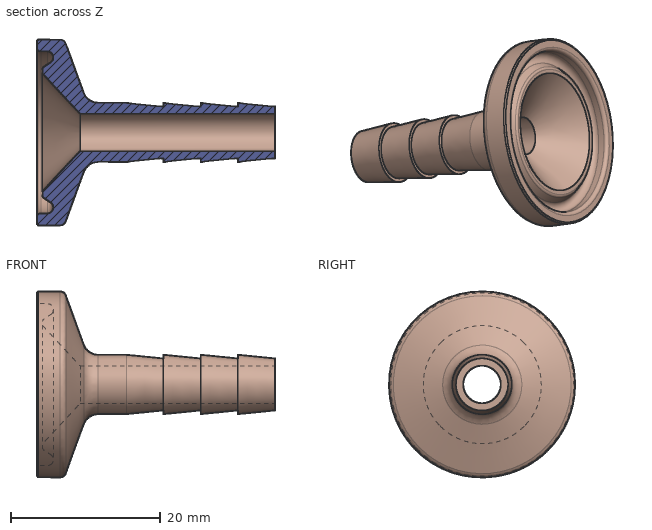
import cadquery as cq
import math

flange_radius = 12.5
rim_thickness = 3.7
back_cone_angle = 20.0
rim_round = 0.85
face_chamfer = 0.2

total_length = 32.0
shank_radius = 4.0
shank_fillet = 2.0
barb_count = 4
barb_pitch = 5.0
barb_small_radius = 3.5

bore_radius = 2.5
funnel_radius = 7.93
funnel_end = 5.8

land_setback = 0.75
land_radius = 8.46
land_round = 0.45
rim_lip_round = 0.5
groove_outer_radius = 10.87
groove_wall_end = 1.4
groove_wall_angle = 34.0
groove_floor_round = 0.79

barbs_start = total_length - barb_count * barb_pitch
cone_slope = math.tan(math.radians(back_cone_angle))
cone_end = rim_thickness + (flange_radius - shank_radius) * cone_slope


def revolve_about_x(profile):
    """Close a profile drawn as (X, radius) and spin it a full turn about the part axis."""
    return profile.close().revolve(360, (0, 0, 0), (1, 0, 0))


def circle_at(x, radius):
    """Selector for the circular edge of the given radius lying at X = x."""
    margin = 0.01
    reach = radius + margin
    return cq.selectors.BoxSelector((x - margin, -reach, -reach), (x + margin, reach, reach), boundingbox=True)


def make_flange_and_shank():
    """Flange with a conical back running into the plain shank."""
    profile = (
        cq.Workplane("XZ")
        .lineTo(0, flange_radius - face_chamfer)
        .lineTo(face_chamfer, flange_radius)
        .lineTo(rim_thickness, flange_radius)
        .lineTo(cone_end, shank_radius)
        .lineTo(barbs_start, shank_radius)
        .lineTo(barbs_start, 0)
    )
    body = revolve_about_x(profile)

    body = body.edges(circle_at(rim_thickness, flange_radius)).fillet(rim_round)
    return body.edges(circle_at(cone_end, shank_radius)).fillet(shank_fillet)


def make_barb(start):
    """One hose barb, tapering towards the free end."""
    profile = (
        cq.Workplane("XZ")
        .moveTo(start, 0)
        .lineTo(start, shank_radius)
        .lineTo(start + barb_pitch, barb_small_radius)
        .lineTo(start + barb_pitch, 0)
    )
    return revolve_about_x(profile)


def make_bore():
    """Funnel mouth followed by the straight through bore."""
    profile = (
        cq.Workplane("XZ")
        .lineTo(0, funnel_radius)
        .lineTo(land_setback, funnel_radius)
        .lineTo(funnel_end, bore_radius)
        .lineTo(total_length, bore_radius)
        .lineTo(total_length, 0)
    )
    return revolve_about_x(profile)


def make_seal_groove():
    """Face recess down to the inner land, with a round-bottomed groove around it."""

    def on_arc(center, radius, degrees):
        angle = math.radians(degrees)
        return (center[0] + radius * math.cos(angle), center[1] + radius * math.sin(angle))

    lip_center = (rim_lip_round, groove_outer_radius + rim_lip_round)
    floor_center = (groove_wall_end, groove_outer_radius - groove_floor_round)
    land_center = (land_setback + land_round, land_radius)
    wall_normal = 90 - groove_wall_angle
    lip_middle = 225

    profile = (
        cq.Workplane("XZ")
        .lineTo(0, lip_center[1])
        .threePointArc(
            on_arc(lip_center, rim_lip_round, lip_middle),
            (rim_lip_round, groove_outer_radius),
        )
        .lineTo(groove_wall_end, groove_outer_radius)
        .threePointArc(
            on_arc(floor_center, groove_floor_round, 0),
            on_arc(floor_center, groove_floor_round, -wall_normal),
        )
        .lineTo(*on_arc(land_center, land_round, 180 - wall_normal))
        .threePointArc(
            on_arc(land_center, land_round, 180 - wall_normal / 2),
            (land_setback, land_radius),
        )
        .lineTo(land_setback, 0)
    )
    return revolve_about_x(profile)


result = make_flange_and_shank()
for index in range(barb_count):
    result = result.union(make_barb(barbs_start + index * barb_pitch))
result = result.cut(make_bore()).cut(make_seal_groove())